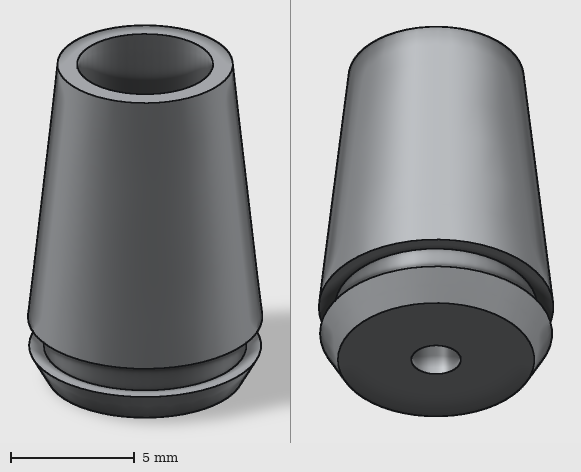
import cadquery as cq

total_height = 14.0
flange_height = 1.3
groove_height = 1.3
body_base_z = flange_height + groove_height

flange_bottom_diameter = 7.95
flange_top_diameter = 9.4
groove_diameter = 8.2
body_base_diameter = 9.5
body_top_diameter = 7.1

wide_bore_diameter = 5.5
narrow_bore_diameter = 2.0
wide_bore_depth = total_height / 2


def make_collet_body():
    """Revolve the outer half-profile about the Z axis."""
    profile = (
        cq.Workplane("XZ")
        .moveTo(0, 0)
        .lineTo(flange_bottom_diameter / 2, 0)
        .lineTo(flange_top_diameter / 2, flange_height)
        .lineTo(groove_diameter / 2, flange_height)
        .lineTo(groove_diameter / 2, body_base_z)
        .lineTo(body_base_diameter / 2, body_base_z)
        .lineTo(body_top_diameter / 2, total_height)
        .lineTo(0, total_height)
        .close()
    )
    return profile.revolve(360, (0, 0, 0), (0, 1, 0))


def cut_stepped_bore(body):
    """Cut the narrow through hole and the wide blind bore from the top."""
    return body.faces(">Z").workplane().cboreHole(
        narrow_bore_diameter, wide_bore_diameter, wide_bore_depth
    )


result = cut_stepped_bore(make_collet_body())